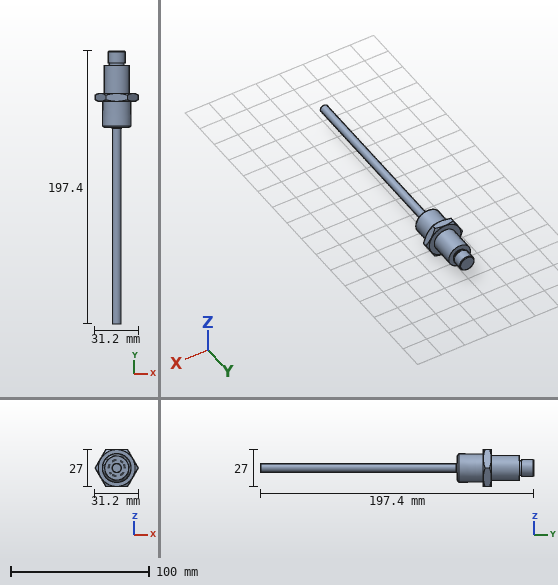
import cadquery as cq
import math

total_length = 197.4
connector_length = 8.7
neck_length = 1.8
body_length = 20.1
hex_length = 6.0
collar_length = 5.1
thread_length = 13.8
rod_shoulder_length = 0.5

connector_diameter = 12.5
neck_diameter = 10.9
body_diameter = 18.4
collar_diameter = 20.5
thread_end_diameter = 21.0
nose_diameter = 17.4
rod_shoulder_diameter = 6.7
rod_diameter = 6.3

hex_across_flats = 27.0
hex_face_diameter = 26.6
hex_bevel_angle = 30.0
connector_chamfer = 0.5
nose_chamfer_length = 1.4

connector_face = total_length / 2
connector_end = connector_face - connector_length
body_start = connector_end - neck_length
hex_start = body_start - body_length
hex_end = hex_start - hex_length
collar_end = hex_end - collar_length
nose_face = collar_end - thread_length
shoulder_end = nose_face - rod_shoulder_length
rod_tip = -total_length / 2


def make_turned_body():
    """Revolve the stepped connector, housing, threaded end and rod about Y."""
    connector_radius = connector_diameter / 2
    neck_radius = neck_diameter / 2
    body_radius = body_diameter / 2
    collar_radius = collar_diameter / 2
    shoulder_radius = rod_shoulder_diameter / 2
    rod_radius = rod_diameter / 2
    profile = [
        (0, connector_face),
        (connector_radius - connector_chamfer, connector_face),
        (connector_radius, connector_face - connector_chamfer),
        (connector_radius, connector_end),
        (neck_radius, connector_end),
        (neck_radius, body_start),
        (body_radius, body_start),
        (body_radius, hex_start),
        (collar_radius, hex_start),
        (collar_radius, collar_end),
        (thread_end_diameter / 2, nose_face + nose_chamfer_length),
        (nose_diameter / 2, nose_face),
        (shoulder_radius, nose_face),
        (shoulder_radius, shoulder_end),
        (rod_radius, shoulder_end),
        (rod_radius, rod_tip),
        (0, rod_tip),
    ]
    return cq.Workplane("XY").polyline(profile).close().revolve(360, (0, 0), (0, 1))


def make_hex():
    """Hexagon with corners on X, its corners bevelled on both faces."""
    corner_diameter = hex_across_flats / math.cos(math.radians(30))
    prism = (
        cq.Workplane("XZ", origin=(0, hex_start, 0))
        .polygon(6, corner_diameter)
        .extrude(hex_length)
    )
    face_radius = hex_face_diameter / 2
    corner_radius = corner_diameter / 2
    bevel_depth = (corner_radius - face_radius) * math.tan(math.radians(hex_bevel_angle))
    envelope_profile = [
        (0, hex_start),
        (face_radius, hex_start),
        (corner_radius, hex_start - bevel_depth),
        (corner_radius, hex_end + bevel_depth),
        (face_radius, hex_end),
        (0, hex_end),
    ]
    envelope = cq.Workplane("XY").polyline(envelope_profile).close().revolve(360, (0, 0), (0, 1))
    return prism.intersect(envelope)


result = make_turned_body().union(make_hex())